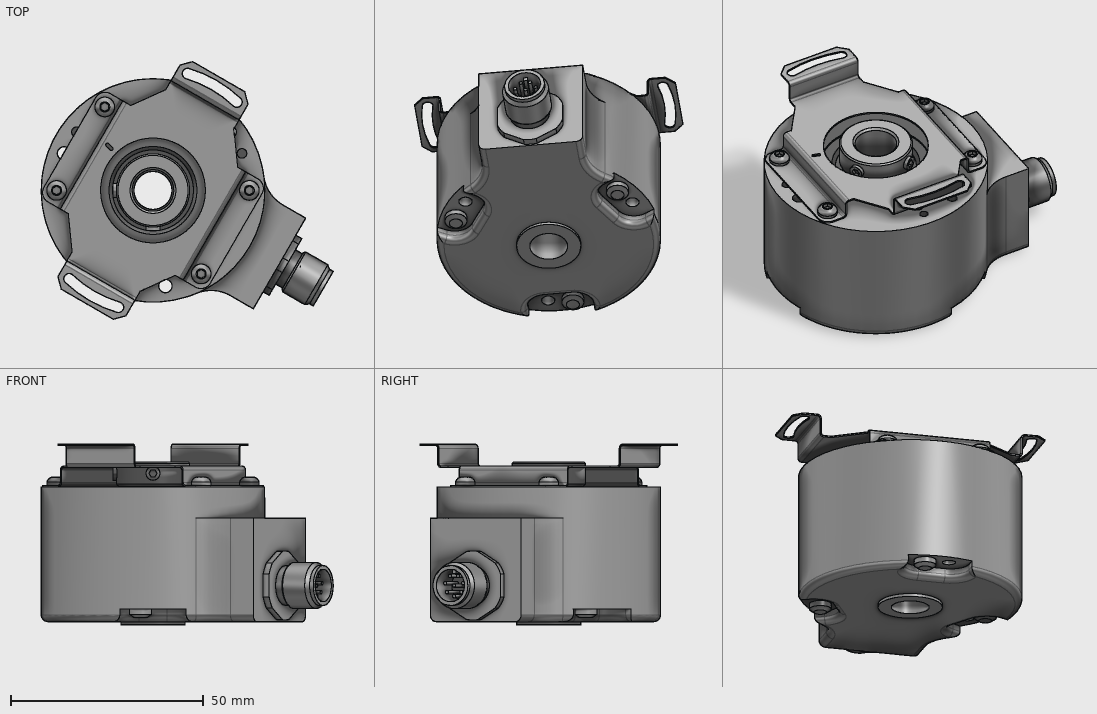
import cadquery as cq
import math

OUTLET_TURN = -30.0

BODY_R = 29.0
BODY_H = 35.0
BOTTOM_FILLET = 1.8
OUTLET_END = 37.9
OUTLET_HALF_W = 13.6
OUTLET_H = 26.9
OUTLET_BLEND_R = 10.0
TOP_RECESS_R = 14.1
TOP_RECESS_DEPTH = 0.4
BEARING_SEAT_R = 10.5
BEARING_SEAT_FLOOR = 33.6
BEARING_SEAT_CHAMFER = 0.9

POCKET_ANGLES = (-180.0, -60.0, 60.0)
POCKET_HALF_W = 8.6
POCKET_INNER_R = 20.0
POCKET_H = 3.3
POCKET_CORNER_R = 5.0
COVER_SCREW_R = 2.85
COVER_SCREW_RIM_H = 1.4
COVER_SCREW_TIP_R = 1.7
COVER_SCREW_TIP_H = 0.8

HOLE_CIRCLE_R = 25.0
HOLE_LEAD = 7.4
THROUGH_HOLE_D = 3.4
TAPPED_HOLE_D = 2.5
TAPPED_HOLE_DEPTH = 6.0
TAB_HOLE_ANGLE = -90.0
TAB_HOLE_CIRCLE_R = 21.3
TAB_HOLE_D = 3.4
TAB_OUTER_HOLE_D = 2.1

SHAFT_BORE_R = 5.4
SHAFT_LOWER_BORE_R = 4.9
SHAFT_BORE_DEPTH = 30.0
SHAFT_BORE_CHAMFER = 0.55
SHAFT_BOTTOM_R = 8.35
SHAFT_BOTTOM_DROP = 0.8
COLLAR_R = 9.5
COLLAR_TOP = 41.5
COLLAR_BOTTOM = 35.1
COLLAR_CHAMFER = 0.4
COLLAR_BOTTOM_CHAMFER = 0.6
SHAFT_NECK_R = 8.8
SET_SCREW_ANGLES = (-60.0, -150.0)
SET_SCREW_Z = 38.5
SET_SCREW_R = 1.8
SET_SCREW_REACH = 10.4
SET_SCREW_SOCKET_FLATS = 1.8
SET_SCREW_SOCKET_DEPTH = 2.0

SHEET = 0.4
BEND_OUTER_R = 1.1
BEND_INNER_R = BEND_OUTER_R - SHEET
PLATE_TOP = 40.4
PLATE_HOLE_R = 13.6
PLATE_WALL_X = 18.4
FOOT_END_X = 24.9
FOOT_HALF_W = 16.2
FOOT_CORNER = 2.8
TAB_TOP = 46.1
TAB_WALL_Y = 27.0
TAB_END_Y = 34.1
TAB_HALF_W = 10.2
TAB_CORNER = 2.4
WAIST_Y = 24.3
SHOULDER_X = 16.0
TAB_SLOT_R = 31.6
TAB_SLOT_W = 2.7
TAB_SLOT_HALF_ANGLE = 13.5
MARK_ANGLE = 165.0
MARK_RADIUS = 16.0
MARK_LENGTH = 2.3
MARK_WIDTH = 0.9

FOOT_SCREW_X = 21.65
FOOT_SCREW_Y = 12.5
FOOT_SCREW_R = 2.55
FOOT_SCREW_RIM_H = 0.8
FOOT_SCREW_H = 2.1
FOOT_SCREW_FLAT_R = 1.3
FOOT_SCREW_DOME_BULGE = 0.25
FOOT_SCREW_SOCKET_FLATS = 2.0
FOOT_SCREW_SOCKET_DEPTH = 1.0

CONNECTOR_Z = 9.4
NUT_FLATS = 17.0
NUT_R = 9.0
NUT_T = 1.8
FLATS_UPRIGHT_TURN = 30.0
NECK_R = 5.15
PLUG_R = 6.0
PLUG_START = 41.8
PLUG_START_CHAMFER = 0.5
PLUG_LIP_R = 5.2
PLUG_CONE_START = 48.9
PLUG_CONE_END = 49.9
PLUG_END = 51.0
SOCKET_R = 4.2
SOCKET_DEPTH = 8.0
PIN_COUNT = 7
PIN_CIRCLE_R = 2.75
PIN_R = 0.45
PIN_SETBACK = 1.9
KEY_ANGLE = 90.0
KEY_W = 1.0
KEY_INNER_Z = 3.15

HEX_CORNER = 2.0 / math.sqrt(3.0)


def polar(radius, angle):
    """Point at a radius and an angle in degrees."""
    return radius * math.cos(math.radians(angle)), radius * math.sin(math.radians(angle))


def upright(radius, z_low, z_high, at=(0, 0)):
    """Vertical cylinder between two heights."""
    return cq.Workplane("XY").workplane(offset=z_low).center(*at).circle(radius).extrude(z_high - z_low)


def turned(profile):
    """Solid turned about Z from (radius, height) points."""
    return cq.Workplane("XZ").polyline(profile).close().revolve(360, (0, 0), (0, 1))


def outlet_block():
    """Cable outlet that blends tangentially into the round housing."""
    blend_y = OUTLET_HALF_W + OUTLET_BLEND_R
    blend_x = math.sqrt((BODY_R + OUTLET_BLEND_R) ** 2 - blend_y**2)
    touch_angle = math.degrees(math.atan2(blend_y, blend_x))
    touch_x, touch_y = polar(BODY_R, touch_angle)
    to_touch = touch_angle + 180
    to_side = 270
    mid_dx, mid_dy = polar(OUTLET_BLEND_R, (to_touch + to_side) / 2)
    return (
        cq.Workplane("XY")
        .moveTo(0, -touch_y)
        .lineTo(touch_x, -touch_y)
        .threePointArc((blend_x + mid_dx, -blend_y - mid_dy), (blend_x, -OUTLET_HALF_W))
        .lineTo(OUTLET_END, -OUTLET_HALF_W)
        .lineTo(OUTLET_END, OUTLET_HALF_W)
        .lineTo(blend_x, OUTLET_HALF_W)
        .threePointArc((blend_x + mid_dx, blend_y + mid_dy), (touch_x, touch_y))
        .lineTo(0, touch_y)
        .close()
        .extrude(OUTLET_H)
    )


def bottom_pocket(angle):
    """Tool for a round-cornered pocket, open to the bottom and the outer side."""
    length = 2 * (BODY_R - POCKET_INNER_R)
    pocket = (
        cq.Workplane("XY")
        .box(length, 2 * POCKET_HALF_W, POCKET_H, centered=(False, True, False))
        .edges("|Z and <X")
        .fillet(POCKET_CORNER_R)
        .translate((POCKET_INNER_R, 0, 0))
    )
    return pocket.rotate((0, 0, 0), (0, 0, 1), angle)


def cover_screw(angle):
    """Screw head hanging from the ceiling of a bottom pocket."""
    rim_z = POCKET_H - COVER_SCREW_RIM_H
    head = turned(
        [
            (0, POCKET_H),
            (COVER_SCREW_R, POCKET_H),
            (COVER_SCREW_R, rim_z),
            (COVER_SCREW_TIP_R, rim_z - COVER_SCREW_TIP_H),
            (0, rim_z - COVER_SCREW_TIP_H),
        ]
    )
    x, y = polar(HOLE_CIRCLE_R, angle - HOLE_LEAD)
    return head.translate((x, y, 0))


def housing():
    """Round housing with its outlet, bottom pockets, bearing seat and top holes."""
    body = upright(BODY_R, 0, BODY_H).union(outlet_block())
    for angle in POCKET_ANGLES:
        body = body.cut(bottom_pocket(angle))
    body = body.faces("<Z").edges("not(>X)").fillet(BOTTOM_FILLET)
    for angle in POCKET_ANGLES:
        body = body.union(cover_screw(angle))
    recess_floor = BODY_H - TOP_RECESS_DEPTH
    body = body.cut(
        turned(
            [
                (0, BEARING_SEAT_FLOOR),
                (BEARING_SEAT_R, BEARING_SEAT_FLOOR),
                (BEARING_SEAT_R, recess_floor - BEARING_SEAT_CHAMFER),
                (BEARING_SEAT_R + BEARING_SEAT_CHAMFER, recess_floor),
                (TOP_RECESS_R, recess_floor),
                (TOP_RECESS_R, BODY_H),
                (0, BODY_H),
            ]
        )
    )
    for angle in POCKET_ANGLES:
        through_at = polar(HOLE_CIRCLE_R, angle + HOLE_LEAD)
        tapped_at = polar(HOLE_CIRCLE_R, angle - HOLE_LEAD)
        body = body.cut(upright(THROUGH_HOLE_D / 2, 0, BODY_H, through_at))
        body = body.cut(upright(TAPPED_HOLE_D / 2, BODY_H - TAPPED_HOLE_DEPTH, BODY_H, tapped_at))
    for radius, diameter in ((HOLE_CIRCLE_R, TAB_OUTER_HOLE_D), (TAB_HOLE_CIRCLE_R, TAB_HOLE_D)):
        at = polar(radius, TAB_HOLE_ANGLE)
        body = body.cut(upright(diameter / 2, BODY_H - TAPPED_HOLE_DEPTH, BODY_H, at))
    return body


def add_shaft(body):
    """Clamping collar, set screws, bottom end and stepped bore of the hollow shaft."""
    body = body.union(upright(SHAFT_BOTTOM_R, -SHAFT_BOTTOM_DROP, BEARING_SEAT_FLOOR))
    body = body.union(upright(SHAFT_NECK_R, BEARING_SEAT_FLOOR, COLLAR_TOP))
    collar = upright(COLLAR_R, COLLAR_BOTTOM, COLLAR_TOP)
    collar = collar.faces(">Z").edges().chamfer(COLLAR_CHAMFER)
    body = body.union(collar.faces("<Z").edges().chamfer(COLLAR_BOTTOM_CHAMFER))
    for angle in SET_SCREW_ANGLES:
        screw = (
            cq.Workplane("YZ")
            .circle(SET_SCREW_R)
            .extrude(SET_SCREW_REACH)
            .faces(">X")
            .workplane()
            .polygon(6, SET_SCREW_SOCKET_FLATS * HEX_CORNER)
            .cutBlind(-SET_SCREW_SOCKET_DEPTH)
        )
        body = body.union(screw.rotate((0, 0, 0), (0, 0, 1), angle).translate((0, 0, SET_SCREW_Z)))
    step_z = COLLAR_TOP - SHAFT_BORE_DEPTH
    mouth_r = SHAFT_BORE_R + SHAFT_BORE_CHAMFER
    bore = turned(
        [
            (0, -SHAFT_BOTTOM_DROP),
            (SHAFT_LOWER_BORE_R, -SHAFT_BOTTOM_DROP),
            (SHAFT_LOWER_BORE_R, step_z),
            (SHAFT_BORE_R, step_z),
            (SHAFT_BORE_R, COLLAR_TOP - SHAFT_BORE_CHAMFER),
            (mouth_r, COLLAR_TOP),
            (0, COLLAR_TOP),
        ]
    )
    return body.cut(bore)


def joggled_strip(low_end, wall_outer, high_end, z_low, z_high, half_width):
    """Z-bent strip along X, from a low run through a wall to a high run.

    z_low is the underside of the low run and z_high the top of the high run. The wall's
    face towards the low run is at wall_outer. Either run may be the one farther along X.
    """
    away = math.copysign(1, low_end - high_end)
    wall_inner = wall_outer - away * SHEET
    section = [
        (low_end, z_low),
        (wall_inner, z_low),
        (wall_inner, z_high - SHEET),
        (high_end, z_high - SHEET),
        (high_end, z_high),
        (wall_outer, z_high),
        (wall_outer, z_low + SHEET),
        (low_end, z_low + SHEET),
    ]
    strip = cq.Workplane("XZ").polyline(section).close().extrude(half_width, both=True)

    def bend_edge(x, z):
        return cq.selectors.NearestToPointSelector((x, 0, z))

    for x, z in ((wall_inner, z_low), (wall_outer, z_high)):
        strip = strip.edges(bend_edge(x, z)).fillet(BEND_OUTER_R)
    for x, z in ((wall_inner, z_high - SHEET), (wall_outer, z_low + SHEET)):
        strip = strip.edges(bend_edge(x, z)).fillet(BEND_INNER_R)
    return strip


def foot():
    """Foot of the coupling on the +X side with its wall up to the plate."""
    strip = joggled_strip(FOOT_END_X, PLATE_WALL_X, SHOULDER_X, BODY_H, PLATE_TOP, FOOT_HALF_W)
    return strip.edges("|Z and >X").fillet(FOOT_CORNER)


def tab():
    """Slotted mounting tab of the coupling on the +Y side with its wall up from the plate."""
    strip = joggled_strip(WAIST_Y, TAB_WALL_Y, TAB_END_Y, PLATE_TOP - SHEET, TAB_TOP, TAB_HALF_W)
    strip = strip.edges("|Z and >X").chamfer(TAB_CORNER)
    inner_r = TAB_SLOT_R - TAB_SLOT_W / 2
    outer_r = TAB_SLOT_R + TAB_SLOT_W / 2
    ends = (-TAB_SLOT_HALF_ANGLE, TAB_SLOT_HALF_ANGLE)
    slot_z = TAB_TOP - SHEET
    slot = (
        cq.Workplane("XY")
        .workplane(offset=slot_z)
        .moveTo(*polar(inner_r, ends[0]))
        .threePointArc((inner_r, 0), polar(inner_r, ends[1]))
        .lineTo(*polar(outer_r, ends[1]))
        .threePointArc((outer_r, 0), polar(outer_r, ends[0]))
        .close()
        .extrude(SHEET)
    )
    for angle in ends:
        slot = slot.union(upright(TAB_SLOT_W / 2, slot_z, TAB_TOP, polar(TAB_SLOT_R, angle)))
    return strip.cut(slot).rotate((0, 0, 0), (0, 0, 1), 90)


def coupling():
    """Spring plate with two feet, two tabs, the shaft opening and the index mark."""
    quarter = [(SHOULDER_X, FOOT_HALF_W), (TAB_HALF_W, WAIST_Y)]
    left_top = [(-x, y) for x, y in reversed(quarter)]
    half = quarter + left_top
    outline = half + [(-x, -y) for x, y in half]
    sheet_z = PLATE_TOP - SHEET
    spring = cq.Workplane("XY").workplane(offset=sheet_z).polyline(outline).close().extrude(SHEET)
    for turn in (0, 180):
        for part in (foot(), tab()):
            spring = spring.union(part.rotate((0, 0, 0), (0, 0, 1), turn))
    spring = spring.cut(upright(PLATE_HOLE_R, sheet_z, PLATE_TOP))
    mark = cq.Workplane("XY").workplane(offset=sheet_z).slot2D(MARK_LENGTH, MARK_WIDTH).extrude(SHEET)
    mark = mark.translate((MARK_RADIUS, 0, 0)).rotate((0, 0, 0), (0, 0, 1), MARK_ANGLE)
    return spring.cut(mark)


def foot_screw():
    """Domed screw head with a hexagonal socket, standing on the origin."""
    dome_h = FOOT_SCREW_H - FOOT_SCREW_RIM_H
    dome_w = FOOT_SCREW_R - FOOT_SCREW_FLAT_R
    bulge = FOOT_SCREW_DOME_BULGE / math.hypot(dome_w, dome_h)
    mid_r = FOOT_SCREW_FLAT_R + dome_w / 2 + bulge * dome_h
    mid_z = FOOT_SCREW_RIM_H + dome_h / 2 + bulge * dome_w
    head = (
        cq.Workplane("XZ")
        .lineTo(FOOT_SCREW_R, 0)
        .lineTo(FOOT_SCREW_R, FOOT_SCREW_RIM_H)
        .threePointArc((mid_r, mid_z), (FOOT_SCREW_FLAT_R, FOOT_SCREW_H))
        .lineTo(0, FOOT_SCREW_H)
        .close()
        .revolve(360, (0, 0), (0, 1))
    )
    socket = head.faces(">Z").workplane().polygon(6, FOOT_SCREW_SOCKET_FLATS * HEX_CORNER)
    return socket.cutBlind(-FOOT_SCREW_SOCKET_DEPTH)


def connector():
    """Plug connector along +X with its nut, neck, pins and coding key."""

    def disc(radius, start, end):
        return cq.Workplane("YZ").workplane(offset=start).circle(radius).extrude(end - start)

    nut_end = OUTLET_END + NUT_T
    nut = cq.Workplane("YZ").workplane(offset=OUTLET_END).polygon(6, NUT_FLATS * HEX_CORNER).extrude(NUT_T)
    nut = nut.rotate((0, 0, 0), (1, 0, 0), FLATS_UPRIGHT_TURN).intersect(disc(NUT_R, OUTLET_END, nut_end))
    plug = (
        cq.Workplane("XY")
        .moveTo(OUTLET_END, 0)
        .lineTo(OUTLET_END, NECK_R)
        .lineTo(PLUG_START, NECK_R)
        .lineTo(PLUG_START, PLUG_R - PLUG_START_CHAMFER)
        .lineTo(PLUG_START + PLUG_START_CHAMFER, PLUG_R)
        .lineTo(PLUG_CONE_START, PLUG_R)
        .lineTo(PLUG_CONE_END, PLUG_LIP_R)
        .lineTo(PLUG_END, PLUG_LIP_R)
        .lineTo(PLUG_END, 0)
        .close()
        .revolve(360, (0, 0), (1, 0))
    )
    socket_floor = PLUG_END - SOCKET_DEPTH
    pin_end = PLUG_END - PIN_SETBACK
    plug = nut.union(plug).cut(disc(SOCKET_R, socket_floor, PLUG_END))
    pitch = 360 / PIN_COUNT
    places = [polar(PIN_CIRCLE_R, KEY_ANGLE + (i + 0.5) * pitch) for i in range(PIN_COUNT)] + [(0, 0)]
    for y, z in places:
        plug = plug.union(disc(PIN_R, socket_floor, pin_end).translate((0, y, z)))
    key_length = pin_end - socket_floor
    key_h = (SOCKET_R + PLUG_LIP_R) / 2 - KEY_INNER_Z
    key = cq.Workplane("XY").box(key_length, KEY_W, key_h, centered=(False, True, False))
    plug = plug.union(key.translate((socket_floor, 0, KEY_INNER_Z)))
    return plug.translate((0, 0, CONNECTOR_Z))


def encoder():
    """The whole part, turned to its final direction."""
    body = add_shaft(housing()).union(coupling()).union(connector())
    for x in (-FOOT_SCREW_X, FOOT_SCREW_X):
        for y in (-FOOT_SCREW_Y, FOOT_SCREW_Y):
            body = body.union(foot_screw().translate((x, y, BODY_H + SHEET)))
    return body.rotate((0, 0, 0), (0, 0, 1), OUTLET_TURN)


result = encoder()